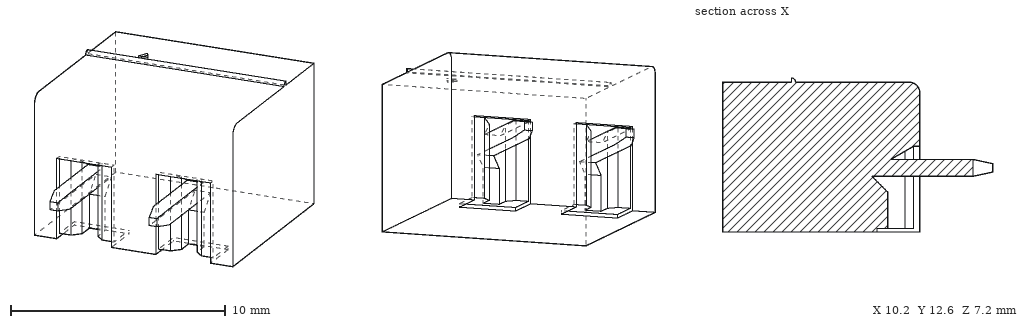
import cadquery as cq
import math


pitch = 5.08
pole_count = 2
housing_width = pole_count * pitch
housing_depth = 9.2
housing_height = 7.0
front_edge_radius = 0.5

ridge_radius = 0.2
ridge_back_y = 6.0

mark_width = 0.5
mark_length = 0.5
mark_base_y = 6.7
mark_depth = 0.1

pin_size = 0.8
pin_tip_size = 0.4
pin_height = 3.0
pin_reach = 3.4
pin_taper_length = 0.93
pin_top = pin_height + pin_size / 2
pin_bottom = pin_height - pin_size / 2

recess_width = 2.8
recess_height = 4.0
recess_depth = 0.3

flare = 0.39
ceiling_slope = math.radians(30)
ceiling_end_y = recess_depth + (recess_height - pin_top) / math.tan(ceiling_slope)
channel_foot_y = 1.5
channel_foot_height = 1.87
channel_floor_end_y = channel_foot_y + (pin_bottom - channel_foot_height)

groove_height = 0.17
groove_length = 2.0

pole_positions = [(i - (pole_count - 1) / 2) * pitch for i in range(pole_count)]


def make_block(center_x, width, y_start, length, height):
    """Block standing on the bottom plane, centred on center_x."""
    return cq.Workplane("XY").box(width, length, height, centered=(True, False, False)).translate(
        (center_x, y_start, 0)
    )


def make_housing():
    housing = make_block(0, housing_width, 0, housing_depth, housing_height)
    return housing.edges("|X and <Y and >Z").fillet(front_edge_radius)


def make_ridge():
    """Quarter-round bar with its upright face toward the back."""
    corner_offset = ridge_radius * math.sqrt(0.5)
    return (
        cq.Workplane("YZ", origin=(-housing_width / 2, 0, 0))
        .moveTo(ridge_back_y, housing_height)
        .lineTo(ridge_back_y, housing_height + ridge_radius)
        .threePointArc(
            (ridge_back_y - corner_offset, housing_height + corner_offset),
            (ridge_back_y - ridge_radius, housing_height),
        )
        .close()
        .extrude(housing_width)
    )


def make_mark(x):
    return (
        cq.Workplane("XY", origin=(x, mark_base_y, housing_height))
        .polyline([(-mark_width / 2, 0), (mark_width / 2, 0), (0, mark_length)])
        .close()
        .extrude(-mark_depth)
    )


def make_channel(x):
    """Space around the pin root: a flared plan crossed with a sloped side profile."""
    half_width = pin_size / 2
    plan = (
        cq.Workplane("XY", origin=(x, recess_depth, 0))
        .polyline(
            [
                (-half_width - flare, 0),
                (half_width + flare, 0),
                (half_width, flare),
                (half_width, channel_floor_end_y),
                (-half_width, channel_floor_end_y),
                (-half_width, flare),
            ]
        )
        .close()
        .extrude(recess_height)
    )
    side = (
        cq.Workplane("YZ", origin=(x - recess_width / 2, 0, 0))
        .polyline(
            [
                (recess_depth, 0),
                (recess_depth, recess_height),
                (ceiling_end_y, pin_top),
                (ceiling_end_y, pin_bottom),
                (channel_floor_end_y, pin_bottom),
                (channel_foot_y, channel_foot_height),
                (channel_foot_y, 0),
            ]
        )
        .close()
        .extrude(recess_width)
    )
    return plan.intersect(side)


def make_pin(x):
    """Square pin rooted at the end of the channel, tapered toward its tip."""
    taper_y = pin_taper_length - pin_reach
    shaft = (
        cq.Workplane("XZ", origin=(x, channel_floor_end_y, pin_height))
        .rect(pin_size, pin_size)
        .extrude(channel_floor_end_y - taper_y)
    )
    tip = (
        cq.Workplane("XZ", origin=(x, taper_y, pin_height))
        .rect(pin_size, pin_size)
        .workplane(offset=pin_taper_length)
        .rect(pin_tip_size, pin_tip_size)
        .loft(ruled=True)
    )
    return shaft.union(tip)


result = make_housing().union(make_ridge()).cut(make_mark(pole_positions[0]))
for pole_x in pole_positions:
    result = result.cut(make_block(pole_x, recess_width, 0, recess_depth, recess_height))
    result = result.cut(make_block(pole_x, recess_width, 0, groove_length, groove_height))
    result = result.cut(make_channel(pole_x))
    result = result.union(make_pin(pole_x))